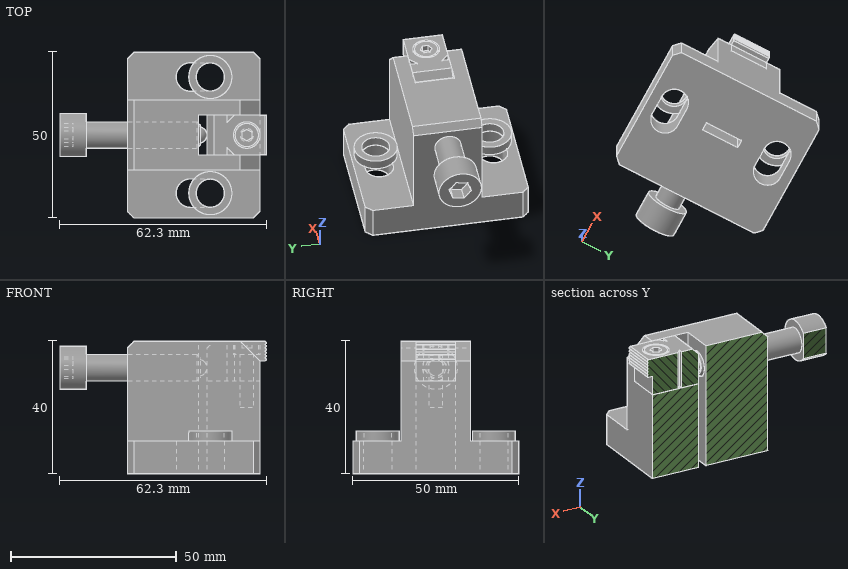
import cadquery as cq
import math

base_length = 40.0
base_width = 50.0
base_height = 10.0
corner_chamfer = 2.0
block_width = 21.0
total_height = 40.0
block_edge_chamfer = 2.0

slot_width = 8.5
slot_start_x = 19.0
slot_end_x = 25.0
slot_offset_y = 17.5
pad_diameter = 13.0
pad_hole_diameter = 8.4
pad_height = 3.0

jaw_width = 12.0
jaw_back_x = 24.0
jaw_tip_x = 42.0
jaw_height = 12.0
jaw_bottom_z = total_height - jaw_height
jaw_back_chamfer = 2.1
lip_height = 6.0
lip_bottom_z = total_height - lip_height
pocket_start_x = 21.5
notch_x = 30.0
notch_depth = 2.25

tooth_count = 6
tooth_pitch = lip_height / tooth_count
tooth_depth = tooth_pitch / 2
tooth_root_x = jaw_tip_x - tooth_depth

clamp_axis_z = 32.0
clamp_diameter = 8.0
clamp_head_diameter = 13.0
clamp_head_height = 8.0
clamp_head_x = -20.3
clamp_head_seat_x = clamp_head_x + clamp_head_height
clamp_end_x = 22.0
clamp_end_chamfer = 1.0
clamp_ball_radius = 2.5
clamp_hex_flats = 6.0
clamp_hex_depth = 4.0
clamp_hex_turn = 10.0

jaw_screw_x = 36.0
jaw_screw_diameter = 4.0
jaw_screw_head_diameter = 7.0
jaw_screw_head_height = 4.0
jaw_screw_length = 16.0
jaw_screw_hex_flats = 3.0
jaw_screw_hex_depth = 2.0
counterbore_diameter = 8.0
jaw_screw_seat_z = total_height - jaw_screw_head_height
jaw_screw_end_z = jaw_screw_seat_z - jaw_screw_length


def box(x_start, x_end, width, z_start, z_end):
    """Box between two X and two Z positions, centred on Y = 0."""
    return (
        cq.Workplane("XY")
        .box(x_end - x_start, width, z_end - z_start, centered=(False, True, False))
        .translate((x_start, 0, z_start))
    )


def upright_cylinder(x, y, diameter, z_start, z_end):
    """Cylinder along Z between two heights."""
    return (
        cq.Workplane("XY", origin=(x, y, z_start))
        .circle(diameter / 2)
        .extrude(z_end - z_start)
    )


def hex_corner_diameter(across_flats):
    """Corner-to-corner size of a hexagon."""
    return across_flats / math.cos(math.pi / 6)


def make_base():
    plate = box(0, base_length, base_width, 0, base_height)
    return plate.edges("|Z").chamfer(corner_chamfer)


def make_block():
    block = box(0, base_length, block_width, 0, total_height)
    block = block.edges("<X and >Z").chamfer(block_edge_chamfer)
    return block.edges(">X and >Z").chamfer(lip_height)


def mounting_slot(y):
    slot_centre_x = (slot_start_x + slot_end_x) / 2
    slot_length = slot_end_x - slot_start_x + slot_width
    return (
        cq.Workplane("XY", origin=(slot_centre_x, y, 0))
        .slot2D(slot_length, slot_width)
        .extrude(base_height)
    )


def washer_pad(y):
    pad_top_z = base_height + pad_height
    pad = upright_cylinder(slot_end_x, y, pad_diameter, base_height, pad_top_z)
    pad_hole = upright_cylinder(slot_end_x, y, pad_hole_diameter, base_height, pad_top_z)
    return pad.cut(pad_hole)


def make_housing():
    housing = make_base().union(make_block())
    for y in (-slot_offset_y, slot_offset_y):
        housing = housing.cut(mounting_slot(y)).union(washer_pad(y))
    jaw_pocket = box(pocket_start_x, base_length, jaw_width, jaw_bottom_z, total_height)
    rear_opening = box(pocket_start_x, jaw_back_x, jaw_width, 0, total_height)
    clamp_hole = (
        cq.Workplane("YZ", origin=(0, 0, clamp_axis_z))
        .circle(clamp_diameter / 2)
        .extrude(pocket_start_x)
    )
    jaw_screw_hole = upright_cylinder(jaw_screw_x, 0, jaw_screw_diameter, jaw_screw_end_z, jaw_bottom_z)
    return housing.cut(jaw_pocket).cut(rear_opening).cut(clamp_hole).cut(jaw_screw_hole)


def jaw_outline():
    """Side profile of the jaw in the XZ plane, teeth included."""
    outline = (
        cq.Workplane("XZ")
        .moveTo(jaw_back_x, jaw_bottom_z)
        .lineTo(base_length, jaw_bottom_z)
        .lineTo(base_length, lip_bottom_z)
        .lineTo(tooth_root_x, lip_bottom_z)
    )
    for tooth in range(tooth_count):
        tooth_start_z = lip_bottom_z + tooth * tooth_pitch
        outline = outline.lineTo(jaw_tip_x, tooth_start_z + tooth_pitch / 2)
        outline = outline.lineTo(tooth_root_x, tooth_start_z + tooth_pitch)
    return (
        outline.lineTo(jaw_back_x + jaw_back_chamfer, total_height)
        .lineTo(jaw_back_x, total_height - jaw_back_chamfer)
        .close()
    )


def side_notch(side):
    """Triangular notch through one flank of the jaw; side is +1 or -1 along Y."""
    flank_y = side * jaw_width / 2
    return (
        cq.Workplane("XY", origin=(0, 0, jaw_bottom_z))
        .moveTo(notch_x, flank_y)
        .lineTo(notch_x, flank_y - side * notch_depth)
        .lineTo(notch_x + notch_depth, flank_y)
        .close()
        .extrude(jaw_height)
    )


def make_jaw():
    jaw = jaw_outline().extrude(jaw_width / 2, both=True)
    for side in (-1, 1):
        jaw = jaw.cut(side_notch(side))
    counterbore = upright_cylinder(jaw_screw_x, 0, counterbore_diameter, jaw_screw_seat_z, total_height)
    through_hole = upright_cylinder(jaw_screw_x, 0, jaw_screw_diameter, jaw_bottom_z, total_height)
    return jaw.cut(counterbore).cut(through_hole)


def make_clamp_screw():
    """Half profile of head, shank and ball tip, revolved about the screw's axis."""
    head_radius = clamp_head_diameter / 2
    shank_radius = clamp_diameter / 2
    ball_centre_x = jaw_back_x - clamp_ball_radius
    ball_base_radius = math.sqrt(clamp_ball_radius**2 - (clamp_end_x - ball_centre_x) ** 2)
    arc_offset = clamp_ball_radius * math.sqrt(0.5)
    screw = (
        cq.Workplane("XY")
        .moveTo(clamp_head_x, 0)
        .lineTo(clamp_head_x, head_radius)
        .lineTo(clamp_head_seat_x, head_radius)
        .lineTo(clamp_head_seat_x, shank_radius)
        .lineTo(clamp_end_x - clamp_end_chamfer, shank_radius)
        .lineTo(clamp_end_x, shank_radius - clamp_end_chamfer)
        .lineTo(clamp_end_x, ball_base_radius)
        .threePointArc((ball_centre_x + arc_offset, arc_offset), (jaw_back_x, 0))
        .close()
        .revolve(360, (0, 0), (1, 0))
        .translate((0, 0, clamp_axis_z))
    )
    socket = (
        cq.Workplane("YZ", origin=(clamp_head_x, 0, clamp_axis_z))
        .transformed(rotate=(0, 0, clamp_hex_turn))
        .polygon(6, hex_corner_diameter(clamp_hex_flats))
        .extrude(clamp_hex_depth)
    )
    return screw.cut(socket)


def make_jaw_screw():
    head = upright_cylinder(jaw_screw_x, 0, jaw_screw_head_diameter, jaw_screw_seat_z, total_height)
    shank = upright_cylinder(jaw_screw_x, 0, jaw_screw_diameter, jaw_screw_end_z, jaw_screw_seat_z)
    socket = (
        cq.Workplane("XY", origin=(jaw_screw_x, 0, total_height))
        .transformed(rotate=(0, 0, 90))
        .polygon(6, hex_corner_diameter(jaw_screw_hex_flats))
        .extrude(-jaw_screw_hex_depth)
    )
    return head.union(shank).cut(socket)


housing = make_housing()
jaw = make_jaw()
clamp_screw = make_clamp_screw()
jaw_screw = make_jaw_screw()

bodies = [housing, jaw, clamp_screw, jaw_screw]
result = cq.Compound.makeCompound([body.solids().val() for body in bodies])